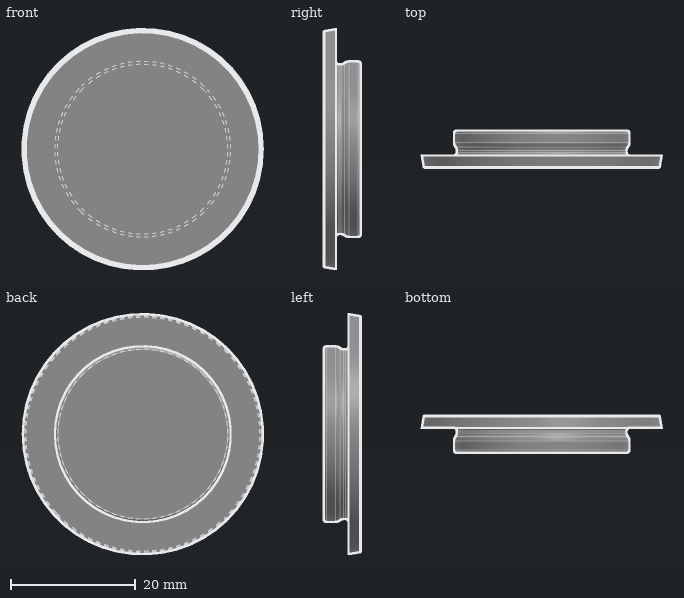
import cadquery as cq
import math

total_depth = 6.0
flange_depth = 2.0
neck_fillet = 0.45
neck_end = 2.8
bead_start = 4.1

flange_radius = 19.25
flange_front_radius = 18.95
face_radius = 18.75
neck_radius = 13.63
bead_radius = 14.1

face_edge = 0.15
bead_edge_round = 0.5
neck_curve_share = 0.45


def arc_point(center_r, center_y, radius, angle):
    """Point on a profile arc; the angle is in degrees from the outward direction."""
    turn = math.radians(angle)
    return (center_r + radius * math.cos(turn), center_y + radius * math.sin(turn))


curve_length = bead_start - neck_end
curve_rise = bead_radius - neck_radius
radius_sum = (curve_length**2 + curve_rise**2) / (2 * curve_rise)
neck_curve = neck_curve_share * radius_sum
bead_curve = radius_sum - neck_curve
sweep = math.degrees(math.asin(curve_length / radius_sum))

neck_center = neck_radius + neck_curve
bead_center = bead_radius - bead_curve
fillet_center = (neck_radius + neck_fillet, flange_depth + neck_fillet)
round_center = (bead_radius - bead_edge_round, total_depth - bead_edge_round)

profile = (
    cq.Workplane("XY")
    .lineTo(face_radius, 0)
    .lineTo(flange_front_radius, face_edge)
    .lineTo(flange_radius, flange_depth)
    .lineTo(fillet_center[0], flange_depth)
    .threePointArc(
        arc_point(*fillet_center, neck_fillet, 225),
        (neck_radius, fillet_center[1]),
    )
    .lineTo(neck_radius, neck_end)
    .threePointArc(
        arc_point(neck_center, neck_end, neck_curve, 180 - sweep / 2),
        arc_point(neck_center, neck_end, neck_curve, 180 - sweep),
    )
    .threePointArc(
        arc_point(bead_center, bead_start, bead_curve, -sweep / 2),
        (bead_radius, bead_start),
    )
    .lineTo(bead_radius, round_center[1])
    .threePointArc(
        arc_point(*round_center, bead_edge_round, 45),
        (round_center[0], total_depth),
    )
    .lineTo(0, total_depth)
    .close()
)

result = profile.revolve(360, (0, 0, 0), (0, 1, 0))